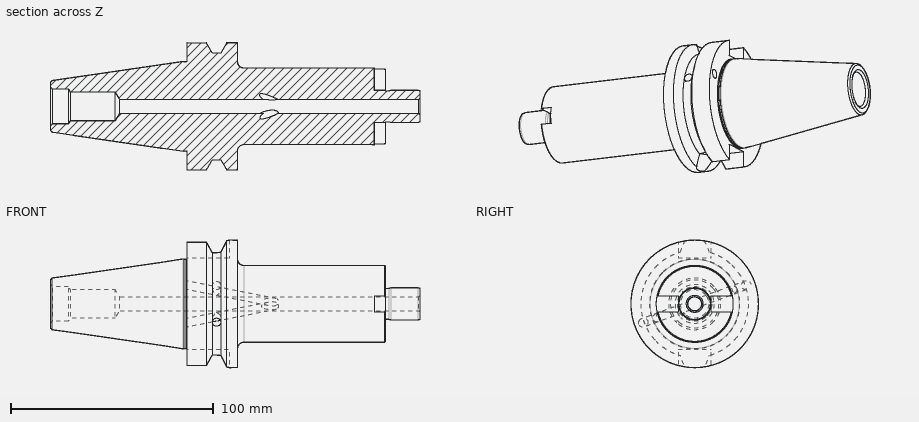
import cadquery as cq
import math


GAUGE_RADIUS = 44.45 / 2
TAPER_LENGTH = 65.4
TAPER_RATE = 7 / 24
SMALL_END_RADIUS = GAUGE_RADIUS - TAPER_LENGTH * TAPER_RATE / 2
SMALL_END_CHAMFER = 0.8
RELIEF_RADIUS = 44.25 / 2
RELIEF_LAND = 0.6

FLANGE_START = 2.0
FLANGE_END = 27.0
FLANGE_RADIUS = 63.0 / 2
GROOVE_CENTRE = 16.6
GROOVE_MOUTH = 10.0
GROOVE_DEPTH = 5.0
GROOVE_FLANK_ANGLE = 30.0
GROOVE_FLOOR_RADIUS = FLANGE_RADIUS - GROOVE_DEPTH
GROOVE_FLOOR = GROOVE_MOUTH - 2 * GROOVE_DEPTH * math.tan(math.radians(GROOVE_FLANK_ANGLE))

KEY_SLOT_WIDTH = 16.1
KEY_SLOT_FLOOR = 22.6
KEY_SLOT_END = 23.0

BODY_RADIUS = 38.0 / 2
BODY_END = 100.0
BODY_FILLET = 3.0
BODY_CHAMFER = 0.5
DRIVE_SLOT_WIDTH = 8.0
DRIVE_SLOT_DEPTH = 5.6

PILOT_RADIUS = 16.0 / 2
PILOT_END = BODY_END + 17.0
NECK_RADIUS = 15.4 / 2
NECK_LENGTH = 1.5
PILOT_LEAD = 1.0
DRIVE_SLOT_FLOOR = PILOT_RADIUS

COUNTERBORE_RADIUS = 17.0 / 2
COUNTERBORE_DEPTH = 9.0
COUNTERBORE_MOUTH_RADIUS = 9.6
COUNTERBORE_MOUTH_DEPTH = 1.1
THREAD_RADIUS = 14.0 / 2
THREAD_DEPTH = 32.0
THROUGH_RADIUS = 6.8 / 2
THROUGH_MOUTH_RADIUS = 8.4 / 2
DRILL_POINT_HALF_ANGLE = 59.0

COOLANT_RADIUS = 4.2 / 2
COOLANT_PITCH_RADIUS = 27.0
COOLANT_ANGLE = 20.0
COOLANT_SLOPE = 30.0


def drill_point(step):
    """Axial length of a drill-point cone whose radius changes by step."""
    return step / math.tan(math.radians(DRILL_POINT_HALF_ANGLE))


def revolve_profile(sketch):
    return sketch.close().revolve(360, (0, 0, 0), (1, 0, 0))


def make_outside():
    """Turned outside shape, without the bore."""
    small_end = -TAPER_LENGTH
    chamfer_radius = SMALL_END_RADIUS + SMALL_END_CHAMFER * TAPER_RATE / 2
    fillet_diagonal = BODY_FILLET * (1 - math.sqrt(0.5))
    profile = (
        cq.Workplane("XY")
        .moveTo(small_end, 0)
        .lineTo(small_end, SMALL_END_RADIUS - SMALL_END_CHAMFER)
        .lineTo(small_end + SMALL_END_CHAMFER, chamfer_radius)
        .lineTo(0, GAUGE_RADIUS)
        .lineTo(RELIEF_LAND, GAUGE_RADIUS)
        .lineTo(RELIEF_LAND, RELIEF_RADIUS)
        .lineTo(FLANGE_START - RELIEF_LAND, RELIEF_RADIUS)
        .lineTo(FLANGE_START - RELIEF_LAND, GAUGE_RADIUS)
        .lineTo(FLANGE_START, GAUGE_RADIUS)
        .lineTo(FLANGE_START, FLANGE_RADIUS)
        .lineTo(GROOVE_CENTRE - GROOVE_MOUTH / 2, FLANGE_RADIUS)
        .lineTo(GROOVE_CENTRE - GROOVE_FLOOR / 2, GROOVE_FLOOR_RADIUS)
        .lineTo(GROOVE_CENTRE + GROOVE_FLOOR / 2, GROOVE_FLOOR_RADIUS)
        .lineTo(GROOVE_CENTRE + GROOVE_MOUTH / 2, FLANGE_RADIUS)
        .lineTo(FLANGE_END, FLANGE_RADIUS)
        .lineTo(FLANGE_END, BODY_RADIUS + BODY_FILLET)
        .threePointArc(
            (FLANGE_END + fillet_diagonal, BODY_RADIUS + fillet_diagonal),
            (FLANGE_END + BODY_FILLET, BODY_RADIUS),
        )
        .lineTo(BODY_END - BODY_CHAMFER, BODY_RADIUS)
        .lineTo(BODY_END, BODY_RADIUS - BODY_CHAMFER)
        .lineTo(BODY_END, NECK_RADIUS)
        .lineTo(BODY_END + NECK_LENGTH, NECK_RADIUS)
        .lineTo(BODY_END + NECK_LENGTH + PILOT_LEAD, PILOT_RADIUS)
        .lineTo(PILOT_END - PILOT_LEAD, PILOT_RADIUS)
        .lineTo(PILOT_END, NECK_RADIUS)
        .lineTo(PILOT_END, 0)
    )
    return revolve_profile(profile)


def make_bore():
    """Stepped bore: counterbore, thread hole with a drill point, through hole."""
    small_end = -TAPER_LENGTH
    counterbore_end = small_end + COUNTERBORE_DEPTH
    thread_end = small_end + THREAD_DEPTH
    mouth_chamfer = THROUGH_MOUTH_RADIUS - THROUGH_RADIUS
    profile = (
        cq.Workplane("XY")
        .moveTo(small_end, 0)
        .lineTo(small_end, COUNTERBORE_MOUTH_RADIUS)
        .lineTo(small_end + COUNTERBORE_MOUTH_DEPTH, COUNTERBORE_RADIUS)
        .lineTo(counterbore_end, COUNTERBORE_RADIUS)
        .lineTo(counterbore_end + drill_point(COUNTERBORE_RADIUS - THREAD_RADIUS), THREAD_RADIUS)
        .lineTo(thread_end, THREAD_RADIUS)
        .lineTo(thread_end + drill_point(THREAD_RADIUS - THROUGH_RADIUS), THROUGH_RADIUS)
        .lineTo(PILOT_END - mouth_chamfer, THROUGH_RADIUS)
        .lineTo(PILOT_END, THROUGH_MOUTH_RADIUS)
        .lineTo(PILOT_END, 0)
    )
    return revolve_profile(profile)


def make_key_slot():
    """Round-ended key slot cutter on the +Z side."""
    half_width = KEY_SLOT_WIDTH / 2
    arc_start = KEY_SLOT_END - half_width
    return (
        cq.Workplane("XY", origin=(0, 0, KEY_SLOT_FLOOR))
        .moveTo(0, -half_width)
        .lineTo(arc_start, -half_width)
        .threePointArc((KEY_SLOT_END, 0), (arc_start, half_width))
        .lineTo(0, half_width)
        .close()
        .extrude(FLANGE_RADIUS)
    )


def make_drive_slot():
    """Drive slot cutter on the +Y side of the body end."""
    corner = cq.Vector(BODY_END - DRIVE_SLOT_DEPTH, DRIVE_SLOT_FLOOR, -DRIVE_SLOT_WIDTH / 2)
    return cq.Workplane(cq.Solid.makeBox(DRIVE_SLOT_DEPTH, BODY_RADIUS, DRIVE_SLOT_WIDTH, corner))


def make_coolant_hole():
    """Sloping hole from the flange face to the bore, met by a radial hole in the groove.

    Both lie in the XY plane on the +Y side.
    """
    slope = math.radians(COOLANT_SLOPE)
    inward = cq.Vector(math.cos(slope), -math.sin(slope), 0)
    face_point = cq.Vector(FLANGE_START, COOLANT_PITCH_RADIUS, 0)
    overshoot = COOLANT_RADIUS * math.tan(slope)
    length = COOLANT_PITCH_RADIUS / math.sin(slope)
    sloping = cq.Solid.makeCylinder(
        COOLANT_RADIUS, length + overshoot, face_point - inward * overshoot, inward
    )
    crossing_radius = COOLANT_PITCH_RADIUS - (GROOVE_CENTRE - FLANGE_START) * math.tan(slope)
    radial = cq.Solid.makeCylinder(
        COOLANT_RADIUS,
        FLANGE_RADIUS - crossing_radius,
        cq.Vector(GROOVE_CENTRE, crossing_radius, 0),
        cq.Vector(0, 1, 0),
    )
    return cq.Workplane(sloping).union(cq.Workplane(radial))


def turned(shape, angle):
    """The shape turned about the part axis."""
    return shape.rotate((0, 0, 0), (1, 0, 0), angle)


result = make_outside().cut(make_bore())
for half_turn in (0, 180):
    result = result.cut(turned(make_key_slot(), half_turn))
    result = result.cut(turned(make_drive_slot(), half_turn))
    result = result.cut(turned(make_coolant_hole(), half_turn + COOLANT_ANGLE))